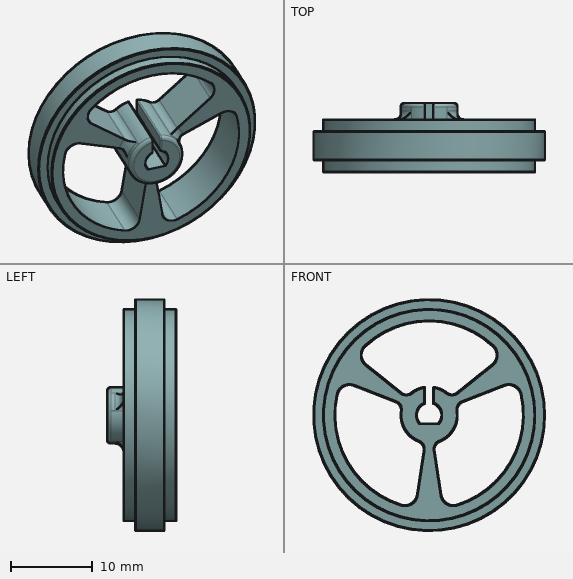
import cadquery as cq
import math

band_radius = 14.2
rim_radius = 13.0
rim_step = 1.45
band_width = 3.6
wheel_width = band_width + 2 * rim_step
edge_break = 0.1

hub_radius = 3.5
boss_height = 2.0
boss_rounding = 0.5
flare_radius = 1.0
hub_back = wheel_width + boss_height

spoke_count = 3
spoke_half_angle = math.radians(8.7)
window_radius = 11.5
hub_skim = 0.001
window_inner_radius = hub_radius - hub_skim
window_outer_fillet = 1.5
window_inner_fillet = 1.0

bore_radius = 1.5
bore_flat_offset = 1.0
slot_width = 1.0
slot_mouth_fillet = 0.15


def quarter_point(center, radius, x_sign, y_sign):
    """Middle of a quarter arc lying diagonally from its center."""
    reach = radius * math.sqrt(0.5)
    return (center[0] + x_sign * reach, center[1] + y_sign * reach)


def polar(radius, angle):
    """Point at a radius and angle about the wheel axis."""
    return (radius * math.cos(angle), radius * math.sin(angle))


def make_blank():
    """Wheel, hub boss and blend revolved about the Y axis."""
    band_front = rim_step
    band_back = rim_step + band_width
    flare_center = (hub_radius + flare_radius, wheel_width + flare_radius)
    boss_center = (hub_radius - boss_rounding, hub_back - boss_rounding)
    return (
        cq.Workplane("XY")
        .moveTo(0, 0)
        .lineTo(rim_radius - edge_break, 0)
        .lineTo(rim_radius, edge_break)
        .lineTo(rim_radius, band_front)
        .lineTo(band_radius - edge_break, band_front)
        .lineTo(band_radius, band_front + edge_break)
        .lineTo(band_radius, band_back - edge_break)
        .lineTo(band_radius - edge_break, band_back)
        .lineTo(rim_radius, band_back)
        .lineTo(rim_radius, wheel_width - edge_break)
        .lineTo(rim_radius - edge_break, wheel_width)
        .lineTo(flare_center[0], wheel_width)
        .threePointArc(
            quarter_point(flare_center, flare_radius, -1, -1),
            (hub_radius, flare_center[1]),
        )
        .lineTo(hub_radius, boss_center[1])
        .threePointArc(
            quarter_point(boss_center, boss_rounding, 1, 1),
            (boss_center[0], hub_back),
        )
        .lineTo(0, hub_back)
        .close()
        .revolve(360, (0, 0, 0), (0, 1, 0))
    )


def extrude_back(sketch):
    """Prism running from the front face to the back of the hub."""
    return sketch.extrude(-hub_back)


def make_window():
    """Rounded sector opening centered on +Z."""
    middle = math.pi / 2
    half_sweep = math.pi / spoke_count - spoke_half_angle
    start = middle - half_sweep
    end = middle + half_sweep
    sector = (
        cq.Workplane("XZ")
        .moveTo(*polar(window_inner_radius, start))
        .lineTo(*polar(window_radius, start))
        .threePointArc(polar(window_radius, middle), polar(window_radius, end))
        .lineTo(*polar(window_inner_radius, end))
        .threePointArc(polar(window_inner_radius, middle), polar(window_inner_radius, start))
        .close()
    )
    window = extrude_back(sector)
    outer_height = window_radius * math.sin(start)
    split_height = outer_height / 2
    outer_corners = cq.selectors.BoxSelector(
        (-window_radius, 0, split_height),
        (window_radius, hub_back, window_radius),
    )
    inner_corners = cq.selectors.BoxSelector(
        (-window_radius, 0, 0),
        (window_radius, hub_back, split_height),
    )
    window = window.edges("|Y").edges(outer_corners).fillet(window_outer_fillet)
    return window.edges("|Y").edges(inner_corners).fillet(window_inner_fillet)


def make_bore():
    """Round bore with a flat on its -Z side."""
    cylinder = extrude_back(cq.Workplane("XZ").circle(bore_radius))
    keep_height = bore_flat_offset + bore_radius
    keep = extrude_back(
        cq.Workplane("XZ")
        .center(0, keep_height / 2 - bore_flat_offset)
        .rect(2 * bore_radius, keep_height)
    )
    return cylinder.intersect(keep)


def make_slot():
    """Slot from the bore out through the +Z side of the hub."""
    slot_height = hub_radius + edge_break
    outline = cq.Workplane("XZ").center(0, slot_height / 2).rect(slot_width, slot_height)
    return extrude_back(outline)


def round_slot_mouth(body):
    """Round the slot edges along the outside of the hub."""
    half = slot_width / 2
    margin = slot_mouth_fillet / 2
    mouth = cq.selectors.BoxSelector(
        (-half - margin, margin, hub_radius - boss_rounding),
        (half + margin, hub_back - margin, hub_radius + margin),
    )
    return body.edges(mouth).fillet(slot_mouth_fillet)


def front_bevel(opening):
    """Tapered cutter that breaks the front edge of an opening at 45 degrees."""
    outline = opening.faces("<Y").wires().val()
    widened = outline.offset2D(edge_break)[0]
    bevel = cq.Solid.extrudeLinear(widened, [], cq.Vector(0, edge_break, 0), 45)
    return cq.Workplane(bevel)


top_window = make_window()
windows = [
    top_window.rotate((0, 0, 0), (0, 1, 0), index * 360 / spoke_count)
    for index in range(spoke_count)
]
openings = windows + [make_bore(), make_slot()]

wheel = make_blank()
for opening in openings:
    wheel = wheel.cut(opening)
wheel = round_slot_mouth(wheel)
for opening in openings:
    wheel = wheel.cut(front_bevel(opening))
result = wheel